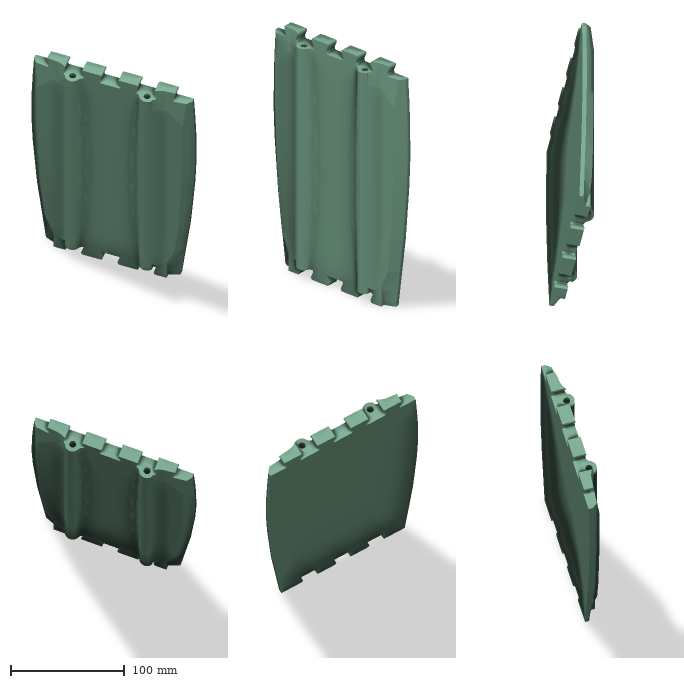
import cadquery as cq
import math

LENGTH = 240.0
HALF_WIDTH = 77.0
THICKNESS = 12.0
SIDE_WALL = 3.8

FOOT_TOP = 69.5
UPPER_SIDE = [
    (FOOT_TOP, 71.8, 64.3),
    (127.2, 76.0, 67.2),
    (165.5, HALF_WIDTH, 68.5),
    (201.5, 76.0, 68.5),
    (LENGTH, 74.0, 68.2),
]
LOWER_SIDE = [(0.0, 63.4, 41.8), (20.2, 65.8, 53.5), (36.0, 67.7, 60.5), UPPER_SIDE[0]]

RIB_X = 35.0
RIB_RADIUS = 7.0
ROD_DIAMETER = 6.2
OUTER_FLARE = 18.2
INNER_FLARE_END = 9.4
INNER_FLARE_MIDDLE = 17.8
FLARE_STATIONS = 5
RIB_ROOT = 4.8
RIB_EDGE_X = 40.8

DOVETAIL_PITCH = 34.0
DOVETAIL_HEIGHT = 10.0
TIP_WIDTH = 19.0
NECK_WIDTH = 14.0
ROOT_WIDTH = 15.8
TIP_FLAT_WIDTH = 17.8
NECK_HEIGHT = 2.5
TIP_CHAMFER = 1.5

TOP_RELIEF_Z = 217.7
TOP_RELIEF_SIDE = (68.2, 202.8)
TOP_RELIEF_SLOPE = 0.16
FOOT_RELIEF_Z = 15.0
FOOT_RELIEF_CORNER_Z = 17.3
FOOT_RELIEF_INNER_X = 44.0
FOOT_RELIEF_OUTER_X = 47.5
MARGIN = 12.0


def add_mirrored(shape):
    return shape.union(shape.mirror("YZ"))


def loft_sections(wires, ruled):
    return cq.Workplane(obj=cq.Solid.makeLoft([w.val() for w in wires], ruled))


def slab_section(z, wall_x, face_x):
    points = [
        (-wall_x, 0),
        (-wall_x, -SIDE_WALL),
        (-face_x, -THICKNESS),
        (face_x, -THICKNESS),
        (wall_x, -SIDE_WALL),
        (wall_x, 0),
    ]
    return cq.Workplane("XY", origin=(0, 0, z)).polyline(points).close()


def make_slab():
    upper = loft_sections([slab_section(*station) for station in UPPER_SIDE], False)
    lower = loft_sections([slab_section(*station) for station in LOWER_SIDE], True)
    return upper.union(lower)


def flare_arc(reach):
    """Radius and swept angle of the hollow tangent to both face and rib."""
    radius = (reach**2 - RIB_RADIUS**2) / (2 * RIB_RADIUS)
    sweep = math.asin(reach / (radius + RIB_RADIUS))
    return radius, sweep


def half_rib_section(z, reach, side):
    """Half rib from its axis outwards; side = 1 points to +X, -1 to -X."""
    radius, sweep = flare_arc(reach)

    def on_rib(angle):
        x = RIB_X + side * RIB_RADIUS * math.sin(angle)
        return x, -THICKNESS - RIB_RADIUS * math.cos(angle)

    def on_flare(angle):
        x = RIB_X + side * (reach - radius * math.sin(angle))
        return x, -THICKNESS - radius + radius * math.cos(angle)

    return (
        cq.Workplane("XY", origin=(0, 0, z))
        .moveTo(RIB_X, RIB_ROOT - THICKNESS)
        .lineTo(*on_rib(0))
        .threePointArc(on_rib(sweep / 2), on_rib(sweep))
        .threePointArc(on_flare(sweep / 2), on_flare(0))
        .lineTo(RIB_X + side * reach, RIB_ROOT - THICKNESS)
        .close()
    )


def make_rib():
    outer = half_rib_section(0, OUTER_FLARE, 1).extrude(LENGTH)
    sections = []
    for i in range(FLARE_STATIONS):
        t = i / (FLARE_STATIONS - 1)
        bulge = 4 * t * (1 - t)
        reach = INNER_FLARE_END + (INNER_FLARE_MIDDLE - INNER_FLARE_END) * bulge
        sections.append(half_rib_section(t * LENGTH, reach, -1))
    return outer.union(loft_sections(sections, False))


def front_prism(points, y_front, y_back):
    """Prism with an outline in X and Z, between two Y levels."""
    plane = cq.Workplane("XZ", origin=(0, y_back, 0))
    return plane.polyline(points).close().extrude(y_back - y_front)


def make_top_corner_relief():
    """Sloping cut across the upper outer corner of the front face."""
    side_x, side_z = TOP_RELIEF_SIDE
    seam_x = RIB_X + OUTER_FLARE
    along = cq.Vector(seam_x - side_x, 0, TOP_RELIEF_Z - side_z).normalized()
    outwards = cq.Vector(along.z, 0, -along.x)
    plane = cq.Plane(origin=(seam_x, -THICKNESS, TOP_RELIEF_Z), xDir=outwards, normal=along * -1)
    run = 4 * MARGIN
    drop = TOP_RELIEF_SLOPE * run
    outline = [(0, 0), (run, drop), (run, -drop)]
    wedge = cq.Workplane(plane).polyline(outline).close().extrude(run, both=True)
    outside = cq.Workplane("XY").box(run, run, LENGTH, centered=(False, True, False))
    return wedge.intersect(outside.translate((seam_x, -THICKNESS, 0)))


def make_top_flare_relief():
    """Lets the outer flare fall back towards the top end."""
    side_x, side_z = TOP_RELIEF_SIDE
    seam_x = RIB_X + OUTER_FLARE
    edge = math.atan2(TOP_RELIEF_Z - side_z, side_x - seam_x)
    drop = TOP_RELIEF_SLOPE * math.cos(edge) * (LENGTH - TOP_RELIEF_Z)
    radius, _ = flare_arc(OUTER_FLARE)
    end_angle = math.asin((seam_x - RIB_EDGE_X) / radius)

    def section(z, shift):
        def on_flare(angle):
            x = seam_x - radius * math.sin(angle)
            return x, shift - THICKNESS - radius * (1 - math.cos(angle))

        front = -THICKNESS - RIB_RADIUS - MARGIN
        return (
            cq.Workplane("XY", origin=(0, 0, z))
            .moveTo(seam_x, front)
            .lineTo(*on_flare(0))
            .threePointArc(on_flare(end_angle / 2), on_flare(end_angle))
            .lineTo(RIB_EDGE_X, front)
            .close()
        )

    return loft_sections([section(TOP_RELIEF_Z, 0), section(LENGTH, drop)], True)


def make_foot_relief():
    """Cuts the outer flare back to the plate face at the foot."""
    bevel_z, _, bevel_x = LOWER_SIDE[1]
    outline = [
        (RIB_EDGE_X, -MARGIN),
        (RIB_EDGE_X, FOOT_RELIEF_CORNER_Z),
        (FOOT_RELIEF_INNER_X, FOOT_RELIEF_Z),
        (FOOT_RELIEF_OUTER_X, FOOT_RELIEF_Z),
        (bevel_x, bevel_z),
        (HALF_WIDTH, bevel_z),
        (HALF_WIDTH, -MARGIN),
    ]
    return front_prism(outline, -THICKNESS - MARGIN, -THICKNESS)


def dovetail(x, z):
    """Tooth standing on height z, passing through the whole thickness."""
    right = [
        (ROOT_WIDTH / 2, 0),
        (NECK_WIDTH / 2, NECK_HEIGHT),
        (TIP_WIDTH / 2, DOVETAIL_HEIGHT - TIP_CHAMFER),
        (TIP_FLAT_WIDTH / 2, DOVETAIL_HEIGHT),
    ]
    left = [(-px, pz) for px, pz in reversed(right)]
    points = [(x + px, z + pz) for px, pz in right + left]
    return front_prism(points, -THICKNESS - RIB_RADIUS - MARGIN, MARGIN)


def cut_dovetails(body):
    shoulder = LENGTH - DOVETAIL_HEIGHT
    strip_x = HALF_WIDTH + MARGIN
    outline = [(-strip_x, shoulder), (strip_x, shoulder), (strip_x, LENGTH), (-strip_x, LENGTH)]
    end_strip = front_prism(outline, -THICKNESS - RIB_RADIUS - MARGIN, MARGIN)
    for i in (-1.5, -0.5, 0.5, 1.5):
        end_strip = end_strip.cut(dovetail(i * DOVETAIL_PITCH, shoulder))
    body = body.cut(end_strip)
    for i in (-1, 0, 1):
        body = body.cut(dovetail(i * DOVETAIL_PITCH, 0))
    return body


body = make_slab().union(add_mirrored(make_rib()))
for relief in (make_top_corner_relief(), make_top_flare_relief(), make_foot_relief()):
    body = body.cut(relief).cut(relief.mirror("YZ"))
rod_holes = (
    cq.Workplane("XY")
    .pushPoints([(-RIB_X, -THICKNESS), (RIB_X, -THICKNESS)])
    .circle(ROD_DIAMETER / 2)
    .extrude(LENGTH)
)
result = cut_dovetails(body.cut(rod_holes))